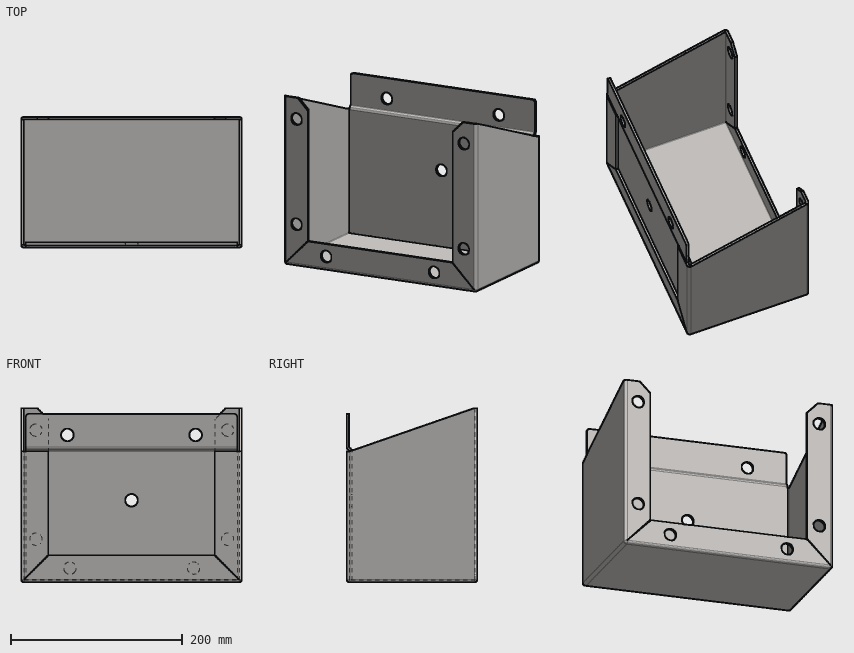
import cadquery as cq
import math

WIDTH = 257.2
DEPTH = 152.5
REAR_HEIGHT = 203.2
FRONT_HEIGHT = 152.8

SHEET = 3.0
INNER_BEND = 0.5
OUTER_BEND = SHEET + INNER_BEND
LIP_WIDTH = 32.0
MITRE_GAP = 0.5
HOLE_DIAMETER = 14.5

LIP_CHAMFER = 13.0
REAR_HOLE_INSET = 17.0
REAR_HOLE_DROP = 25.5
REAR_HOLE_PITCH = 127.0
BOTTOM_LIP_HOLE_PITCH = 144.0

PLATE_WIDTH = 245.9
PLATE_TOP = 196.2
PLATE_BOTTOM = OUTER_BEND
PLATE_CORNER_RADIUS = 3.0
JOGGLE_START = 153.3
JOGGLE_END = JOGGLE_START + SHEET
JOGGLE_BACK_RISE = SHEET * math.tan(math.radians(45 / 2))
TAB_HOLE_PITCH = 149.5
TAB_HOLE_HEIGHT = 171.8
CENTRE_HOLE_HEIGHT = 95.7


def drill_along_y(x, z, start, length):
    """Hole cutter at (x, z), running backward from y = start."""
    return (
        cq.Workplane("XZ", origin=(x, start, z))
        .circle(HOLE_DIAMETER / 2)
        .extrude(-length)
    )


def make_folded_shell():
    """Five-sided tray with rounded bends, open at the top."""
    outer = (
        cq.Workplane("XY")
        .box(WIDTH, DEPTH, REAR_HEIGHT, centered=(True, False, False))
        .edges("|Z or <Z")
        .fillet(OUTER_BEND)
    )
    inner = (
        cq.Workplane("XY", origin=(0, SHEET, SHEET))
        .box(WIDTH - 2 * SHEET, DEPTH - 2 * SHEET, REAR_HEIGHT, centered=(True, False, False))
        .edges("|Z or <Z")
        .fillet(INNER_BEND)
    )
    return outer.cut(inner)


def make_slope_cutter():
    """Waste above the sloping side walls and the low front lips."""
    return (
        cq.Workplane("YZ", origin=(-WIDTH / 2, 0, 0))
        .moveTo(0, FRONT_HEIGHT)
        .lineTo(OUTER_BEND, FRONT_HEIGHT)
        .lineTo(DEPTH - OUTER_BEND, REAR_HEIGHT)
        .lineTo(0, REAR_HEIGHT)
        .close()
        .extrude(WIDTH)
    )


def make_lip_window():
    """Opening through the front and rear that leaves the lips standing."""
    return (
        cq.Workplane("XY", origin=(0, 0, LIP_WIDTH))
        .box(WIDTH - 2 * LIP_WIDTH, DEPTH, REAR_HEIGHT, centered=(True, False, False))
    )


def make_mitre_slot(side):
    """Diagonal gap between the bottom lip and one side lip, front and rear."""
    half_gap = MITRE_GAP / 2 ** 0.5
    corner = WIDTH / 2
    return (
        cq.Workplane("XZ")
        .moveTo(side * (corner - OUTER_BEND), OUTER_BEND)
        .lineTo(side * (corner - LIP_WIDTH - half_gap), LIP_WIDTH)
        .lineTo(side * (corner - LIP_WIDTH - half_gap), LIP_WIDTH + half_gap)
        .lineTo(side * (corner - LIP_WIDTH), LIP_WIDTH + half_gap)
        .close()
        .extrude(-DEPTH)
    )


def make_rear_chamfer(side):
    """Corner cut from the free upper corner of one rear lip."""
    lip_edge = WIDTH / 2 - LIP_WIDTH
    return (
        cq.Workplane("XZ", origin=(0, DEPTH - SHEET, 0))
        .moveTo(side * lip_edge, REAR_HEIGHT)
        .lineTo(side * (lip_edge + LIP_CHAMFER), REAR_HEIGHT)
        .lineTo(side * lip_edge, REAR_HEIGHT - LIP_CHAMFER)
        .close()
        .extrude(-SHEET)
    )


def make_housing():
    body = make_folded_shell().cut(make_slope_cutter()).cut(make_lip_window())
    upper_hole = REAR_HEIGHT - REAR_HOLE_DROP
    side_hole_x = WIDTH / 2 - REAR_HOLE_INSET
    for side in (-1, 1):
        body = body.cut(make_mitre_slot(side)).cut(make_rear_chamfer(side))
        rear_holes = [
            (side * side_hole_x, upper_hole),
            (side * side_hole_x, upper_hole - REAR_HOLE_PITCH),
            (side * BOTTOM_LIP_HOLE_PITCH / 2, REAR_HOLE_INSET),
        ]
        for x, z in rear_holes:
            body = body.cut(drill_along_y(x, z, DEPTH - SHEET, SHEET))
    return body


def round_joggle_bends(plate):
    """Round the four bend lines: large on the outside of a bend, small on the inside."""
    bends = [
        (0, JOGGLE_END, OUTER_BEND),
        (SHEET, JOGGLE_END + JOGGLE_BACK_RISE, INNER_BEND),
        (SHEET, JOGGLE_START, INNER_BEND),
        (2 * SHEET, JOGGLE_START + JOGGLE_BACK_RISE, OUTER_BEND),
    ]
    for y, z, radius in bends:
        bend_line = cq.selectors.NearestToPointSelector((0, y, z))
        plate = plate.edges("|X").edges(bend_line).fillet(radius)
    return plate


def make_front_plate():
    back = 2 * SHEET
    plate = (
        cq.Workplane("YZ", origin=(-PLATE_WIDTH / 2, 0, 0))
        .moveTo(SHEET, PLATE_BOTTOM)
        .lineTo(SHEET, JOGGLE_START)
        .lineTo(0, JOGGLE_END)
        .lineTo(0, PLATE_TOP)
        .lineTo(SHEET, PLATE_TOP)
        .lineTo(SHEET, JOGGLE_END + JOGGLE_BACK_RISE)
        .lineTo(back, JOGGLE_START + JOGGLE_BACK_RISE)
        .lineTo(back, PLATE_BOTTOM)
        .close()
        .extrude(PLATE_WIDTH)
    )
    plate = round_joggle_bends(plate)
    plate = plate.edges("|Y and >Z").fillet(PLATE_CORNER_RADIUS)
    holes = [
        (-TAB_HOLE_PITCH / 2, TAB_HOLE_HEIGHT),
        (TAB_HOLE_PITCH / 2, TAB_HOLE_HEIGHT),
        (0, CENTRE_HOLE_HEIGHT),
    ]
    for x, z in holes:
        plate = plate.cut(drill_along_y(x, z, 0, back))
    return plate


housing = make_housing()
front_plate = make_front_plate()
result = cq.Compound.makeCompound([housing.val(), front_plate.val()])